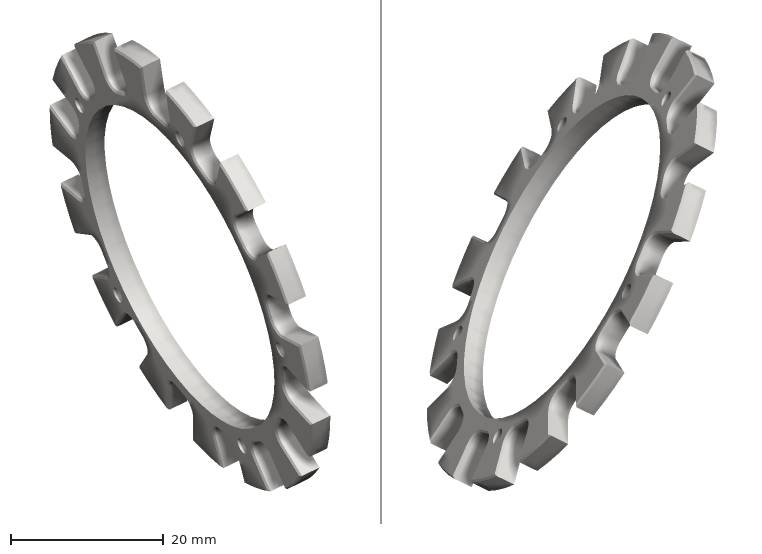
import cadquery as cq

outer_diameter = 64.55
bore_diameter = 46.5
thickness = 3.0

slot_count = 15
slot_width = 6.0
slot_floor_radius = 25.25
slot_corner_radius = 2.0
edge_chamfer = 0.25

hole_count = 5
hole_diameter = 2.2
hole_circle_radius = 25.95

outer_radius = outer_diameter / 2
slot_overrun = 1.3


def make_disc():
    """Solid disc with its front face on the plane Y = -thickness / 2."""
    return cq.Workplane("XZ").circle(outer_radius).extrude(thickness / 2, both=True)


def make_slot_cutter():
    """Radial slot pointing to -Z, with rounded corners at its floor."""
    slot_length = outer_radius + slot_overrun - slot_floor_radius
    return (
        cq.Workplane("XZ")
        .center(0, -slot_floor_radius - slot_length / 2)
        .rect(slot_width, slot_length)
        .extrude(thickness, both=True)
        .edges("|Y and >Z")
        .fillet(slot_corner_radius)
    )


def cut_slots(body):
    cutter = make_slot_cutter()
    for index in range(slot_count):
        angle = index * 360 / slot_count
        body = body.cut(cutter.rotate((0, 0, 0), (0, 1, 0), angle))
    return body


def make_round_cutters():
    """Central bore and the ring of mounting holes."""
    bore = cq.Workplane("XZ").circle(bore_diameter / 2).extrude(thickness, both=True)
    holes = (
        cq.Workplane("XZ")
        .polarArray(hole_circle_radius, 90, 360, hole_count)
        .circle(hole_diameter / 2)
        .extrude(thickness, both=True)
    )
    return bore.union(holes)


toothed_disc = cut_slots(make_disc()).faces("<Y").chamfer(edge_chamfer)
result = toothed_disc.cut(make_round_cutters())